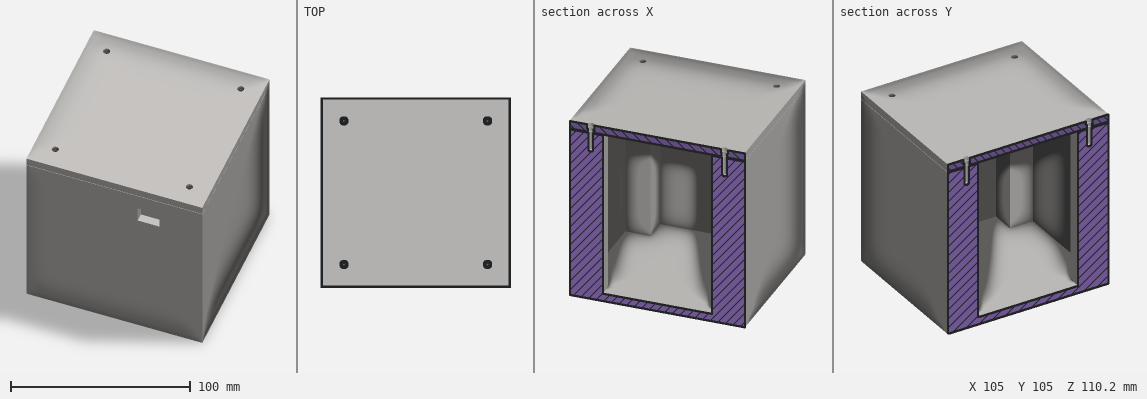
import cadquery as cq
import math

side = 105.0
total_height = 110.2
wall = 5.0
lid_thickness = wall
lid_gap = 0.25
lid_bottom = total_height - lid_thickness
box_height = lid_bottom - lid_gap
cavity_side = side - 2 * wall

screw_offset = 40.0
screw_spots = [(sx * screw_offset, sy * screw_offset) for sx in (-1, 1) for sy in (-1, 1)]

head_diameter = 4.0
head_depth = lid_thickness / 2
clearance_diameter = 3.0

pilot_diameter = 2.5
pilot_depth = 11.0
drill_point_angle = 118.0
drill_point_depth = pilot_diameter / 2 / math.tan(math.radians(drill_point_angle / 2))

post_side = 2 * (cavity_side / 2 - screw_offset)

window_width = 13.0
window_height = 9.9
window_center_x = 20.4
window_drop = 9.9


def make_shell():
    """Box with a floor, four walls and an open top."""
    block = cq.Workplane("XY").rect(side, side).extrude(box_height)
    cavity = cq.Workplane("XY").workplane(offset=wall).rect(cavity_side, cavity_side).extrude(box_height)
    return block.cut(cavity)


def make_posts():
    """Full-height posts that carry the screws in the corners of the box."""
    return cq.Workplane("XY").pushPoints(screw_spots).rect(post_side, post_side).extrude(box_height)


def make_pilot(x, y):
    """Blind hole cutter: a cylinder that ends in a cone."""
    profile = (
        cq.Workplane("XZ")
        .moveTo(0, box_height)
        .lineTo(pilot_diameter / 2, box_height)
        .lineTo(pilot_diameter / 2, box_height - pilot_depth)
        .lineTo(0, box_height - pilot_depth - drill_point_depth)
        .close()
    )
    return profile.revolve(360, (0, 0, 0), (0, 1, 0)).translate((x, y, 0))


def make_window():
    """Cutter for the rectangular opening in the -Y wall."""
    return (
        cq.Workplane("XY")
        .box(window_width, wall, window_height)
        .translate((
            window_center_x,
            -(side - wall) / 2,
            box_height - window_drop - window_height / 2,
        ))
    )


def make_box():
    body = make_shell().union(make_posts()).cut(make_window())
    for x, y in screw_spots:
        body = body.cut(make_pilot(x, y))
    return body


def make_lid():
    """Flat plate with a counterbored screw hole near each corner."""
    plate = cq.Workplane("XY").workplane(offset=lid_bottom).rect(side, side).extrude(lid_thickness)
    return (
        plate.faces(">Z").workplane(origin=(0, 0, total_height))
        .pushPoints(screw_spots)
        .cboreHole(clearance_diameter, head_diameter, head_depth)
    )


box = make_box()
lid = make_lid()

result = cq.Compound.makeCompound([box.val(), lid.val()])